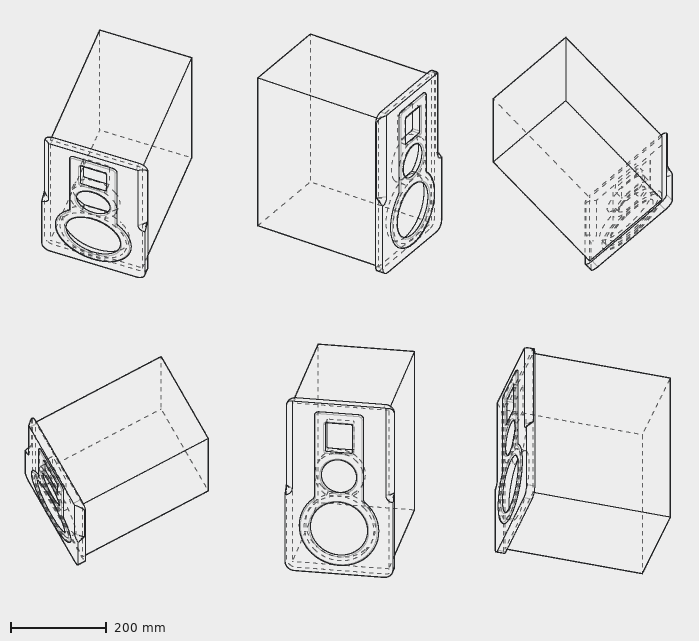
import cadquery as cq
import math

baffle_width = 230.0
baffle_height = 390.0
baffle_thickness = 18.0
baffle_corner_radius = 20.0

overall_depth = 321.0
baffle_overhang = 12.5

bevel_size = 15.5
bevel_bottom = 189.0

trim_thickness = 3.0
trim_edge_radius = 2.92
trim_neck_width = 105.0
trim_top = baffle_height - 20.0
trim_corner_radius = 10.0
trim_ring_diameter = 169.3
trim_shoulder_radius = 6.2

woofer_opening = 121.5
woofer_height = 105.0
midrange_opening = 75.0
midrange_height = 225.5
tweeter_width = 58.0
tweeter_length = 66.3
tweeter_height = 313.0
tweeter_corner_radius = 3.5

woofer_bore = 148.2
midrange_bore = 105.3
bore_wall = 0.8

cabinet_depth = overall_depth - trim_thickness - baffle_thickness


def front_plane(y):
    """Workplane at the given Y whose local axes are X and Z and whose normal is -Y."""
    return cq.Workplane("XZ", origin=(0, y, 0))


def make_cabinet():
    width = baffle_width - 2 * baffle_overhang
    height = baffle_height - 2 * baffle_overhang
    return (
        front_plane(baffle_thickness)
        .center(0, baffle_height / 2)
        .rect(width, height)
        .extrude(-cabinet_depth)
    )


def make_side_bevel(side):
    """Cutter for one side bevel (side is -1 or 1), ending at the bottom in a cone."""
    edge_x = side * baffle_width / 2
    wedge = (
        cq.Workplane("XY", origin=(0, 0, bevel_bottom))
        .moveTo(edge_x, 0)
        .lineTo(edge_x - side * bevel_size, 0)
        .lineTo(edge_x, bevel_size)
        .close()
        .extrude(baffle_height - bevel_bottom)
    )
    cone = cq.Solid.makeCone(
        bevel_size, 0, bevel_size, pnt=cq.Vector(edge_x, 0, bevel_bottom), dir=cq.Vector(0, 1, 0)
    )
    return wedge.union(cq.Workplane(cone))


def make_disc(diameter, height, thickness):
    """Disc centred at the given Z, reaching from the baffle front along -Y by thickness."""
    return front_plane(0).center(0, height).circle(diameter / 2).extrude(thickness)


def make_tweeter_block(thickness):
    """Round-cornered block of the tweeter opening, placed like make_disc."""
    return (
        front_plane(0)
        .center(0, tweeter_height)
        .rect(tweeter_width, tweeter_length)
        .extrude(thickness)
        .edges("|Y")
        .fillet(tweeter_corner_radius)
    )


def make_midrange_bore():
    """Midrange bore with a flat bottom that keeps clear of the woofer bore."""
    flat_height = woofer_height + woofer_bore / 2 + bore_wall
    upper_zone = (
        front_plane(0)
        .center(0, flat_height + midrange_bore / 2)
        .rect(midrange_bore, midrange_bore)
        .extrude(-baffle_thickness)
    )
    return make_disc(midrange_bore, midrange_height, -baffle_thickness).intersect(upper_zone)


def make_baffle():
    board = (
        front_plane(baffle_thickness)
        .center(0, baffle_height / 2)
        .rect(baffle_width, baffle_height)
        .extrude(baffle_thickness)
        .edges("|Y")
        .fillet(baffle_corner_radius)
    )
    for side in (-1, 1):
        board = board.cut(make_side_bevel(side))
    return (
        board.cut(make_disc(woofer_bore, woofer_height, -baffle_thickness))
        .cut(make_midrange_bore())
        .cut(make_tweeter_block(-baffle_thickness))
    )


def make_trim():
    neck_height = trim_top - woofer_height
    neck = (
        front_plane(0)
        .center(0, woofer_height + neck_height / 2)
        .rect(trim_neck_width, neck_height)
        .extrude(trim_thickness)
        .edges("|Y and >Z")
        .fillet(trim_corner_radius)
    )
    ring = make_disc(trim_ring_diameter, woofer_height, trim_thickness)
    shoulder_height = woofer_height + math.sqrt(trim_ring_diameter**2 - trim_neck_width**2) / 2
    shoulder_zone = cq.selectors.BoxSelector(
        (-baffle_width, -baffle_thickness, shoulder_height - trim_shoulder_radius),
        (baffle_width, baffle_thickness, shoulder_height + trim_shoulder_radius),
    )
    outline = neck.union(ring).edges("|Y").edges(shoulder_zone).fillet(trim_shoulder_radius)
    plate = (
        outline.cut(make_disc(woofer_opening, woofer_height, trim_thickness))
        .cut(make_disc(midrange_opening, midrange_height, trim_thickness))
        .cut(make_tweeter_block(trim_thickness))
    )
    return plate.faces("<Y").edges().fillet(trim_edge_radius)


cabinet = make_cabinet()
baffle = make_baffle()
trim = make_trim()

result = cq.Compound.makeCompound([cabinet.val(), baffle.val(), trim.val()])